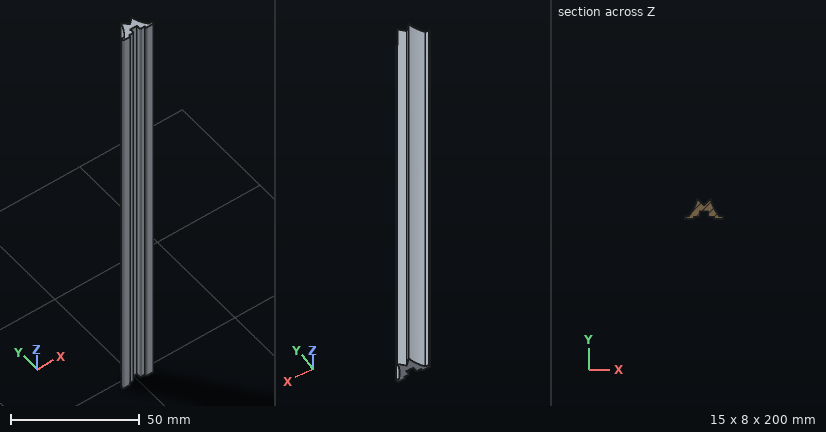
import cadquery as cq
import math

length = 200.0
width = 15.0
depth = 8.0

foot_thickness = 1.2
foot_shoulder_x = 6.0
foot_edge_radius = 0.35

flank_middle_x = 3.5
flank_middle_y = 5.0
ridge_x = 2.5
valley_y = 5.5

recess_half_width = 3.8
recess_depth = 0.9
slot_half_width = 1.5
slot_depth = 3.0
slot_edge_radius = 0.5

arc_inset = 1 - math.sqrt(0.5)

slot_edge_x = slot_half_width + slot_edge_radius
slot_edge_y = recess_depth + slot_edge_radius
foot_inset = foot_edge_radius * arc_inset
slot_inset = slot_edge_radius * arc_inset

half_bar = (
    cq.Workplane("XY")
    .moveTo(0, slot_depth)
    .lineTo(slot_half_width, slot_depth)
    .lineTo(slot_half_width, slot_edge_y)
    .threePointArc(
        (slot_half_width + slot_inset, recess_depth + slot_inset),
        (slot_edge_x, recess_depth),
    )
    .lineTo(recess_half_width, recess_depth)
    .lineTo(recess_half_width, foot_edge_radius)
    .threePointArc(
        (recess_half_width + foot_inset, foot_inset),
        (recess_half_width + foot_edge_radius, 0),
    )
    .lineTo(width / 2 - foot_edge_radius, 0)
    .threePointArc(
        (width / 2 - foot_inset, foot_inset),
        (width / 2, foot_edge_radius),
    )
    .lineTo(width / 2, foot_thickness)
    .lineTo(foot_shoulder_x, foot_thickness)
    .threePointArc((flank_middle_x, flank_middle_y), (ridge_x, depth))
    .lineTo(0, valley_y)
    .close()
    .extrude(length)
    .translate((0, -depth / 2, -length / 2))
)

result = half_bar.union(half_bar.mirror("YZ")).clean()